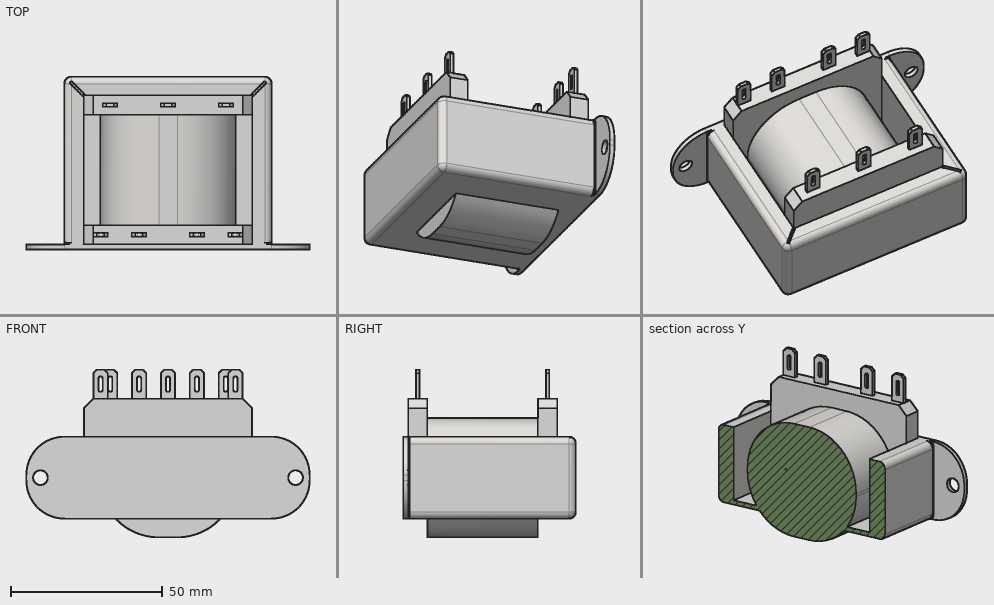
import cadquery as cq
import math


plate_length = 93.7
plate_corner_radius = 12.7
frame_height = 27.2
frame_width = 68.6
frame_depth = 57.2
sheet = 1.7
frame_edge_radius = 2.3
bend_edge_radius = sheet
bend_end = 2.25
mount_hole_diameter = 4.8
mount_hole_spacing = 84.4

window_width = 55.7
window_back = 51.0
miter_gap = 0.8
miter_overrun = 0.3

flange_thickness = 6.4
flange_top = 26.15
flange_chamfer = 3.2
winding_width = 44.9
winding_height = 39.6
winding_corner_radius = 19.3

tag_width = 4.8
tag_height = 9.6
tag_thickness = 1.2
tag_chamfer = 1.1
tag_slot_width = 1.3
tag_slot_length = 5.1
tag_slot_height = 4.8
tag_root = 0.9
front_tag_positions = (-22.3, -9.6, 9.6, 22.3)
rear_tag_positions = (-19.1, 0.0, 19.1)

half_height = frame_height / 2
front_flange_y = sheet
rear_flange_y = window_back - flange_thickness


def block(width, y_start, y_end, z_bottom, z_top):
    """Box centred on X between the given Y and Z limits."""
    return cq.Workplane("XY").box(
        width, y_end - y_start, z_top - z_bottom, centered=(True, False, False)
    ).translate((0, y_start, z_bottom))


def make_plate():
    """Mounting plate with rounded ends and two screw holes."""
    plate = block(plate_length, 0, sheet, -half_height, half_height)
    plate = plate.edges("|Y").fillet(plate_corner_radius)
    holes = (
        cq.Workplane("XZ")
        .pushPoints([(-mount_hole_spacing / 2, 0), (mount_hole_spacing / 2, 0)])
        .circle(mount_hole_diameter / 2)
        .extrude(-sheet)
    )
    return plate.cut(holes)


def make_bend():
    """Thin collar joining frame and plate, its sides flaring out at 45 degrees to the plate."""
    wide_half = frame_width / 2
    narrow_half = wide_half - (bend_end - sheet)
    flare = (
        cq.Workplane("XY")
        .workplane(offset=-half_height)
        .polyline([
            (-wide_half, sheet),
            (wide_half, sheet),
            (narrow_half, bend_end),
            (-narrow_half, bend_end),
        ])
        .close()
        .extrude(frame_height)
    )
    bend = block(frame_width, sheet, bend_end, -half_height, half_height)
    return bend.edges("|Y").fillet(bend_edge_radius).intersect(flare)


def make_frame():
    """Block behind the plate, rounded at the sides and back, with a window in its top."""
    shell = block(frame_width, bend_end, frame_depth, -half_height, half_height)
    shell = shell.edges("|Y or >Y").fillet(frame_edge_radius)
    window = block(window_width, sheet, window_back, sheet - half_height, half_height)
    return shell.union(make_bend()).cut(window)


def make_miter_seam(side):
    """Cutter for the 45 degree seam at one rear corner of the window (side is -1 or 1)."""
    inner_x = window_width / 2
    run = frame_width / 2 - frame_edge_radius - inner_x + miter_overrun
    seam = cq.Workplane("XY").box(
        math.sqrt(2) * run, miter_gap, sheet, centered=(False, True, False)
    )
    seam = seam.rotate((0, 0, 0), (0, 0, 1), 90 - side * 45)
    return seam.translate((side * inner_x, window_back, half_height - sheet))


def make_flange(y_start):
    """Bobbin flange with chamfered top corners, standing on the window floor."""
    flange = block(window_width, y_start, y_start + flange_thickness, sheet - half_height, flange_top)
    return flange.edges("|Y and >Z").chamfer(flange_chamfer)


def make_winding():
    """Winding between the flanges, bulging above and below the frame."""
    winding = block(
        winding_width,
        front_flange_y + flange_thickness,
        rear_flange_y,
        -winding_height / 2,
        winding_height / 2,
    )
    return winding.edges("|Y").fillet(winding_corner_radius)


def make_tag(x, flange_y):
    """Slotted solder tag standing in the middle of a flange's thickness."""
    tag = block(tag_width, -tag_thickness / 2, tag_thickness / 2, -tag_root, tag_height)
    tag = tag.edges("|Y and >Z").chamfer(tag_chamfer)
    slot = (
        cq.Workplane("XZ")
        .center(0, tag_slot_height)
        .slot2D(tag_slot_length, tag_slot_width, 90)
        .extrude(tag_thickness, both=True)
    )
    return tag.cut(slot).translate((x, flange_y + flange_thickness / 2, flange_top))


result = make_plate().union(make_frame())
for side in (-1, 1):
    result = result.cut(make_miter_seam(side))

result = result.union(make_winding())
for flange_y, tag_positions in (
    (front_flange_y, front_tag_positions),
    (rear_flange_y, rear_tag_positions),
):
    result = result.union(make_flange(flange_y))
    for tag_x in tag_positions:
        result = result.union(make_tag(tag_x, flange_y))